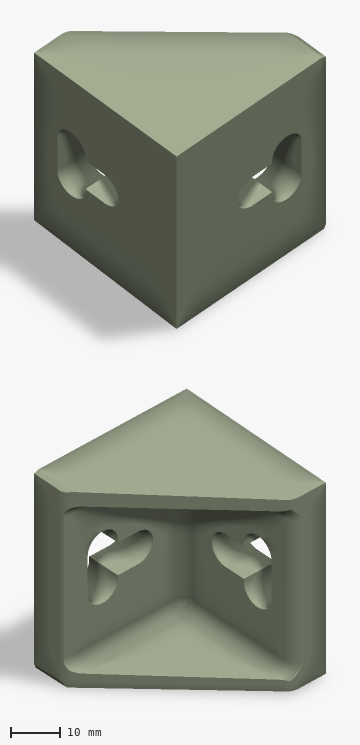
import cadquery as cq

leg = 42.0
height = 50.0
free_edge_height = 48.55
leg_end = 9.0
slope_round = 3.5
back_chamfer_depth = 1.05
back_chamfer_drop = 0.45

plate = 8.65
cavity_half_height = 21.35
cavity_draft = 0.3
cavity_round = 3.2
floor_round = 3.1
lip_round = 2.8
mitre_z = 18.35

hole_radius = 4.15
hole_bar_inset = 11.0
hole_bar_length = 18.2
hole_tip_inset = 24.8

clearance = 5.0
floor_x = leg - plate


def make_body():
    """Triangular block whose height tapers towards the free edge at X = 0."""
    plan = (
        cq.Workplane("XY")
        .polyline([(0, 0), (leg, 0), (leg, leg), (leg - leg_end, leg), (0, leg_end)])
        .close()
        .extrude(height / 2, both=True)
    )
    for corner in [(0, leg_end, 0), (leg - leg_end, leg, 0)]:
        plan = plan.edges(cq.NearestToPointSelector(corner)).fillet(slope_round)
    tapered_block = (
        cq.Workplane("XZ")
        .polyline([
            (0, -free_edge_height / 2),
            (leg, -height / 2),
            (leg, height / 2),
            (0, free_edge_height / 2),
        ])
        .close()
        .extrude(-leg)
    )
    for z in (-height / 2, height / 2):
        back_edge = cq.NearestToPointSelector((leg / 2, leg, z))
        tapered_block = tapered_block.edges(back_edge).chamfer(back_chamfer_drop, back_chamfer_depth)
    return plan.intersect(tapered_block)


def make_cavity():
    """Drafted pocket, open along the slope, with rounded corners and floor."""
    length = leg + clearance
    block = (
        cq.Workplane("YZ", origin=(0, plate + length / 2, 0))
        .rect(length, 2 * cavity_half_height)
        .extrude(floor_x, taper=cavity_draft)
    )
    for z in (-cavity_half_height, cavity_half_height):
        corner = cq.NearestToPointSelector((floor_x / 2, plate, z))
        block = block.edges(corner).fillet(cavity_round)
    return block.faces(">X").edges().fillet(floor_round)


def make_lip():
    """Material removed to round the cavity mouth, cut off at 45 degrees around both corners."""
    corner_z = cavity_half_height - cavity_round
    axis_y = plate + cavity_round

    def profile(z):
        return (
            cq.Workplane("XY", origin=(0, 0, z))
            .moveTo(0, plate - lip_round)
            .radiusArc((lip_round, plate), lip_round)
            .lineTo(lip_round, axis_y)
            .lineTo(0, axis_y)
            .close()
        )

    lip = profile(-corner_z).extrude(2 * corner_z)
    for z in (-corner_z, corner_z):
        lip = lip.union(profile(z).revolve(360, (0, axis_y, 0), (1, axis_y, 0)))

    mitre_y = plate - lip_round
    mitre_run = 2 * lip_round
    mitre = (
        cq.Workplane("YZ")
        .polyline([
            (mitre_y, -mitre_z),
            (mitre_y + mitre_run, -mitre_z - mitre_run),
            (axis_y, -mitre_z - mitre_run),
            (axis_y, mitre_z + mitre_run),
            (mitre_y + mitre_run, mitre_z + mitre_run),
            (mitre_y, mitre_z),
        ])
        .close()
        .extrude(lip_round)
    )
    return lip.intersect(mitre)


def make_hole(plane, inset_sign):
    """T-shaped hole through one leg; the stem points towards the bracket corner."""
    bar_centre = hole_bar_inset if inset_sign > 0 else leg - hole_bar_inset
    stem_end = bar_centre + inset_sign * (hole_tip_inset - hole_bar_inset)
    stem_length = abs(stem_end - bar_centre) + hole_radius
    stem_centre = stem_end - inset_sign * stem_length / 2
    bar = (
        cq.Workplane(plane)
        .center(bar_centre, 0)
        .slot2D(hole_bar_length, 2 * hole_radius, 90)
        .extrude(leg, both=True)
    )
    stem = (
        cq.Workplane(plane)
        .center(stem_centre, 0)
        .slot2D(stem_length, 2 * hole_radius)
        .extrude(leg, both=True)
    )
    return bar.union(stem)


result = (
    make_body()
    .cut(make_cavity())
    .cut(make_lip())
    .cut(make_hole("XZ", 1))
    .cut(make_hole("YZ", -1))
)